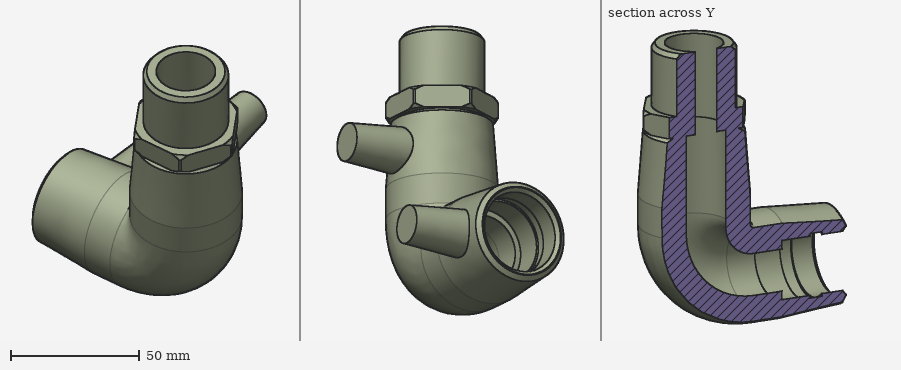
import cadquery as cq
import math

body_radius = 22.0
bend_radius = 20.8
leg_straight_end = 33.1
leg_end_radius = 20.0
end_chamfer_height = 1.5
end_chamfer_width = 2.1

socket_end = 61.0
socket_radius = 16.0
socket_chamfer = 1.5
socket_depth = 27.8
recess_radius = 16.8
recess_start_depth = 10.5
recess_end_depth = 15.7
passage_radius = 13.6

outlet_end = 60.8
hex_height = 8.8
hex_across_flats = 38.5
hex_corner_diameter = 44.0
hex_face_diameter = 41.2
hex_bevel_height = 1.5
pipe_top = 95.0
pipe_radius = 33.3 / 2
pipe_chamfer_width = 1.4
pipe_chamfer_height = 1.9
pipe_bore_radius = 23.0 / 2

stem_end = 43.0
stem_end_radius = 7.6
stem_base_y = 19.9
stem_root_y = 17.0
stem_base_radius = 9.5
stem_distance = 45.6


def turned(points):
    """Solid of revolution about Z from (radius, height) points."""
    return cq.Workplane("XZ").polyline(points).close().revolve(360, (0, 0, 0), (0, 1, 0))


def along_minus_x(shape):
    """Turn a shape built along +Z so that it lies along -X."""
    return shape.rotate((0, 0, 0), (0, 1, 0), -90)


def leg(end):
    """Outside of one leg: straight, then tapered, with a chamfered end."""
    return turned([
        (0, bend_radius),
        (body_radius, bend_radius),
        (body_radius, leg_straight_end),
        (leg_end_radius, end - end_chamfer_height),
        (leg_end_radius - end_chamfer_width, end),
        (0, end),
    ])


def bend(radius):
    """Quarter-turn elbow joining the legs, cut off at the bend axis where the radius exceeds it."""
    section = cq.Workplane("XY").workplane(offset=bend_radius).circle(radius)
    if radius > bend_radius:
        half_chord = math.sqrt(radius**2 - bend_radius**2)
        section = (
            cq.Workplane("XY").workplane(offset=bend_radius)
            .moveTo(-bend_radius, -half_chord)
            .threePointArc((radius, 0), (-bend_radius, half_chord))
            .close()
        )
    return section.revolve(90, (-bend_radius, 0, 0), (-bend_radius, 1, 0))


def hexagon():
    """Hexagon with its corners bevelled on both faces."""
    top = outlet_end + hex_height
    corner = hex_corner_diameter / 2
    face = hex_face_diameter / 2
    prism = (
        cq.Workplane("XY").workplane(offset=outlet_end)
        .polygon(6, hex_across_flats / math.cos(math.pi / 6))
        .extrude(hex_height)
    )
    bevel = turned([
        (0, outlet_end),
        (face, outlet_end),
        (corner, outlet_end + hex_bevel_height),
        (corner, top - hex_bevel_height),
        (face, top),
        (0, top),
    ])
    return prism.intersect(bevel)


def pipe():
    """Chamfered pipe end above the hexagon."""
    return turned([
        (0, outlet_end),
        (pipe_radius, outlet_end),
        (pipe_radius, pipe_top - pipe_chamfer_height),
        (pipe_radius - pipe_chamfer_width, pipe_top),
        (0, pipe_top),
    ])


def stem(x, z):
    """Tapered round stem, reaching from inside the leg wall to its flat end."""
    taper = (stem_base_radius - stem_end_radius) / (stem_end - stem_base_y)
    root_radius = stem_base_radius + taper * (stem_base_y - stem_root_y)
    cone = cq.Solid.makeCone(
        root_radius, stem_end_radius, stem_end - stem_root_y,
        pnt=cq.Vector(x, stem_root_y, z), dir=cq.Vector(0, 1, 0),
    )
    return cq.Workplane(cone)


def socket():
    """Chamfered socket with an internal recess, stepping down to the passage into the bend."""
    floor = socket_end - socket_depth
    recess_start = socket_end - recess_start_depth
    recess_end = socket_end - recess_end_depth
    return along_minus_x(turned([
        (0, bend_radius),
        (passage_radius, bend_radius),
        (passage_radius, floor),
        (socket_radius, floor),
        (socket_radius, recess_end),
        (recess_radius, recess_end),
        (recess_radius, recess_start),
        (socket_radius, recess_start),
        (socket_radius, socket_end - socket_chamfer),
        (socket_radius + socket_chamfer, socket_end),
        (0, socket_end),
    ]))


def outlet_bore():
    """Wide passage inside the leg, narrowing to the pipe bore at the hexagon."""
    return turned([
        (0, bend_radius),
        (passage_radius, bend_radius),
        (passage_radius, outlet_end),
        (pipe_bore_radius, outlet_end),
        (pipe_bore_radius, pipe_top),
        (0, pipe_top),
    ])


outer_bend = cq.Workplane(bend(body_radius).val().toNURBS())
outside = outer_bend.union(leg(outlet_end)).union(along_minus_x(leg(socket_end)))
outside = outside.union(hexagon()).union(pipe())
for stem_x, stem_z in [(-stem_distance, 0), (0, stem_distance)]:
    outside = outside.union(stem(stem_x, stem_z))

result = outside.cut(bend(passage_radius)).cut(socket()).cut(outlet_bore())